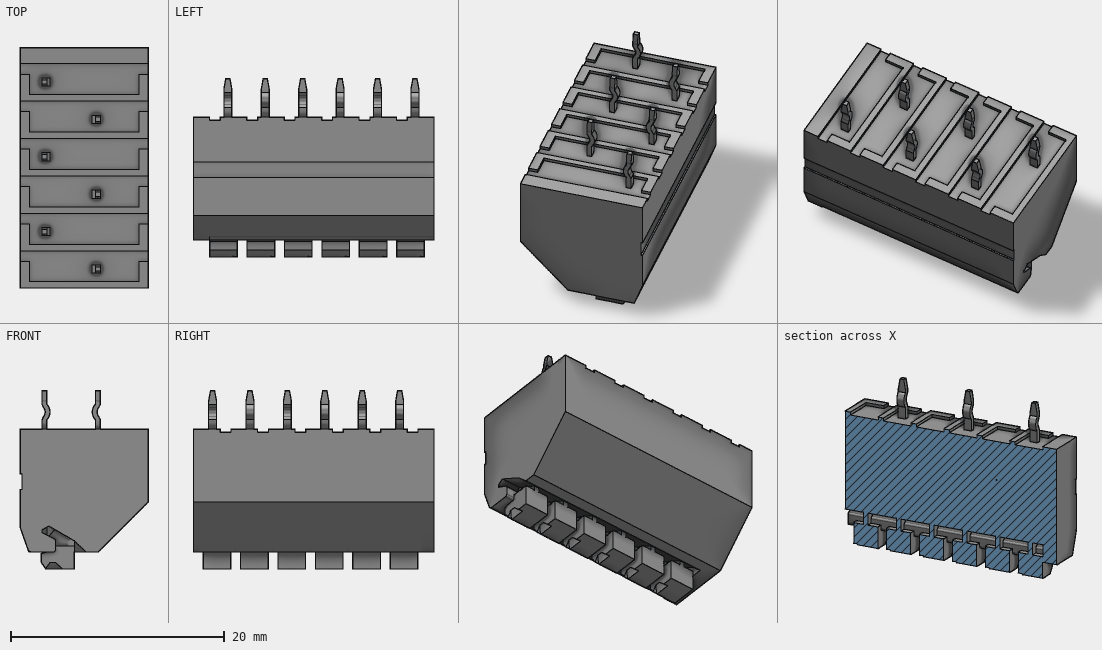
import cadquery as cq


poles = 6
length = 22.5
width = 12.0
body_height = 11.5
end_wall = 1.5
pitch = (length - end_wall) / poles
bevel_width = 4.68
chamfer_width = 0.8
chamfer_height = 2.3
jaw_round = 0.45
side_groove_depth = 0.15
side_groove_bottom = 5.85
side_groove_height = 1.46

recess_depth = 0.3
recess_rib = 0.6
side_lip = 0.9
slot_width = 1.0

divider = 0.9
opening_left = 2.05
opening_right = 6.16
opening_peak_x = 2.68
opening_peak_z = 2.43
opening_tip_top = 2.07
opening_tip_bottom = 1.82
opening_ceiling_z = 1.05
jaw_right = 3.3
jaw_shoulder_z = 1.17
jaw_corner_round = 0.22
lever_left = 1.95
lever_right = 5.06
lever_drop = 1.6
lever_step_z = 0.58
lever_slant_width = 0.45
lever_slant_height = 0.65
lever_shoulder_width = 0.52
lever_shoulder_height = 0.14
lever_width = pitch - divider

notch_left = 2.35
notch_right = 3.98
notch_left_slope = 0.45
notch_right_slope = 0.65
notch_height = 0.6
notch_depth = 0.45

arm_inset = 1.04
contact_inset = 1.12
contact_left = 2.5
arm_tip_upper_x = 3.25
arm_tip_lower_x = 2.7

pin_height = 3.6
pin_thickness = 0.47
pin_width = 0.76
pin_offset = 1.7
pin_left_x = 2.27
pin_row_spacing = 5.0
pin_tip_height = 1.0
pin_tip_width = 0.4
bend_height = 1.6
bend_half = 0.72
bend_bulge = 0.3
bend_inner_half = 0.4
bend_inner_start = 0.15

lever_row_end = length - end_wall
pin_base = body_height - 2 * recess_depth
pin_top = body_height + pin_height
edge_margin = 0.02


def prism(outline, y_start, y_end):
    """Extrude a closed XZ outline from y_start to y_end."""
    return outline.extrude(y_start - y_end).translate((0, y_start, 0))


def xz(points):
    """Closed polygon in the XZ plane."""
    return cq.Workplane("XZ").polyline(points).close()


def block(x_start, x_end, y_start, y_end, z_start, z_end):
    """Box between the given limits along each axis."""
    size = (x_end - x_start, y_end - y_start, z_end - z_start)
    return cq.Workplane("XY").box(*size, centered=False).translate((x_start, y_start, z_start))


def housing_outline():
    """Cross-section shared by the poles and the plain end wall."""
    return xz([
        (chamfer_width, 0),
        (width - bevel_width, 0),
        (width, bevel_width),
        (width, body_height),
        (0, body_height),
        (0, chamfer_height),
    ])


def opening():
    """Opening behind the jaw, running from the -Y end to the plain end wall."""
    return prism(xz([
        (opening_left, opening_tip_bottom),
        (opening_left, opening_tip_top),
        (opening_peak_x, opening_peak_z),
        (lever_right, opening_ceiling_z),
        (opening_right, 0),
        (jaw_right, 0),
        (jaw_right, jaw_shoulder_z),
    ]), 0, lever_row_end)


def round_long_edge(body, x, z, radius):
    """Fillet the edge that runs along Y through the point (x, z)."""
    low = (x - edge_margin, 0, z - edge_margin)
    high = (x + edge_margin, length, z + edge_margin)
    return body.edges(cq.selectors.BoxSelector(low, high)).fillet(radius)


def housing():
    rounded = prism(housing_outline(), 0, lever_row_end).cut(opening())
    rounded = round_long_edge(rounded, chamfer_width, 0, jaw_round)
    rounded = round_long_edge(rounded, jaw_right, 0, jaw_corner_round)
    rounded = round_long_edge(rounded, jaw_right, jaw_shoulder_z, jaw_corner_round)
    body = rounded.union(prism(housing_outline(), lever_row_end, length))
    groove_top = side_groove_bottom + side_groove_height
    return body.cut(block(0, side_groove_depth, 0, length, side_groove_bottom, groove_top))


def top_recess(pole_end):
    """Shallow recess in the top of the pole whose +Y side is at pole_end."""
    floor = body_height - recess_depth
    slot = block(0, width, pole_end - slot_width, pole_end, floor, body_height)
    pocket_start = pole_end - pitch + recess_rib
    pocket = block(side_lip, width - side_lip, pocket_start, pole_end, floor, body_height)
    return slot.union(pocket)


def lever(pole_end):
    """Release lever hanging below the jaw, notched at its lower -Y edge."""
    front = pole_end - lever_width
    handle = prism(
        cq.Workplane("XZ")
        .moveTo(lever_left + lever_slant_width, -lever_drop)
        .lineTo(lever_right, -lever_drop)
        .lineTo(lever_right, lever_step_z)
        .lineTo(jaw_right - jaw_corner_round, lever_step_z)
        .lineTo(jaw_right - jaw_corner_round, 0)
        .lineTo(lever_left + lever_shoulder_width, 0)
        .lineTo(lever_left, -lever_shoulder_height)
        .lineTo(lever_left, lever_slant_height - lever_drop)
        .close(), front, pole_end)
    notch = prism(xz([
        (notch_left, -lever_drop),
        (notch_left + notch_left_slope, notch_height - lever_drop),
        (notch_right - notch_right_slope, notch_height - lever_drop),
        (notch_right, -lever_drop),
    ]), front, front + notch_depth)
    wedge = (
        cq.Workplane("YZ")
        .polyline([
            (front, -lever_drop),
            (front, notch_height - lever_drop),
            (front + notch_depth, -lever_drop),
        ])
        .close()
        .extrude(width)
    )
    return handle.cut(notch.intersect(wedge))


def height_on_line(x, start, end):
    """Height at x of the straight line through two (x, z) points."""
    slope = (end[1] - start[1]) / (end[0] - start[0])
    return start[1] + slope * (x - start[0])


def contact_and_arm(pole_end):
    """Contact left of the slanted arm tip, and the lever arm right of it."""
    front = pole_end - lever_width
    peak = (opening_peak_x, opening_peak_z)
    ceiling_end = (lever_right, opening_ceiling_z)
    tip_top = (opening_left, opening_tip_top)
    tip_bottom = (opening_left, opening_tip_bottom)
    jaw_shoulder = (jaw_right, jaw_shoulder_z)
    arm_tip_lower = (arm_tip_lower_x, height_on_line(arm_tip_lower_x, tip_bottom, jaw_shoulder))
    arm_tip_upper = (arm_tip_upper_x, height_on_line(arm_tip_upper_x, peak, ceiling_end))
    contact_lower = (contact_left, height_on_line(contact_left, tip_bottom, jaw_shoulder))
    contact_upper = (contact_left, height_on_line(contact_left, tip_top, peak))
    arm = prism(xz([
        arm_tip_lower,
        arm_tip_upper,
        ceiling_end,
        (lever_right, lever_step_z),
        (jaw_right - jaw_corner_round, lever_step_z),
    ]), front + arm_inset, pole_end - arm_inset)
    contact = prism(xz([
        contact_lower,
        contact_upper,
        peak,
        arm_tip_upper,
        arm_tip_lower,
    ]), front + contact_inset, pole_end - contact_inset)
    return arm.union(contact)


def pin(x, y, bulge_side):
    """Flat pin with a bend bulging to bulge_side (+1 or -1 along X) and a tapered tip."""
    outer = bulge_side * pin_thickness / 2
    bulge = bulge_side * bend_bulge
    bend_z = body_height + bend_height
    side = prism(
        cq.Workplane("XZ")
        .moveTo(outer, pin_base)
        .lineTo(outer, bend_z - bend_half)
        .threePointArc((outer + bulge, bend_z), (outer, bend_z + bend_half))
        .lineTo(outer, pin_top)
        .lineTo(-outer, pin_top)
        .lineTo(-outer, bend_z + bend_half)
        .lineTo(-outer + bulge_side * bend_inner_start, bend_z + bend_inner_half)
        .threePointArc(
            (-outer + bulge, bend_z),
            (-outer + bulge_side * bend_inner_start, bend_z - bend_inner_half))
        .lineTo(-outer, bend_z - bend_half)
        .lineTo(-outer, pin_base)
        .close(), -pin_width / 2, pin_width / 2)
    face = (
        cq.Workplane("YZ")
        .polyline([
            (-pin_width / 2, pin_base),
            (pin_width / 2, pin_base),
            (pin_width / 2, pin_top - pin_tip_height),
            (pin_tip_width / 2, pin_top),
            (-pin_tip_width / 2, pin_top),
            (-pin_width / 2, pin_top - pin_tip_height),
        ])
        .close()
        .extrude(width, both=True)
    )
    return side.intersect(face).translate((x, y, 0))


result = housing()
for pole in range(poles):
    pole_end = lever_row_end - pole * pitch
    in_left_row = pole % 2 == 0
    pin_x = pin_left_x if in_left_row else pin_left_x + pin_row_spacing
    bulge_side = 1 if in_left_row else -1
    result = result.cut(top_recess(pole_end))
    result = result.union(lever(pole_end))
    result = result.union(contact_and_arm(pole_end))
    result = result.union(pin(pin_x, pole_end - pin_offset, bulge_side))